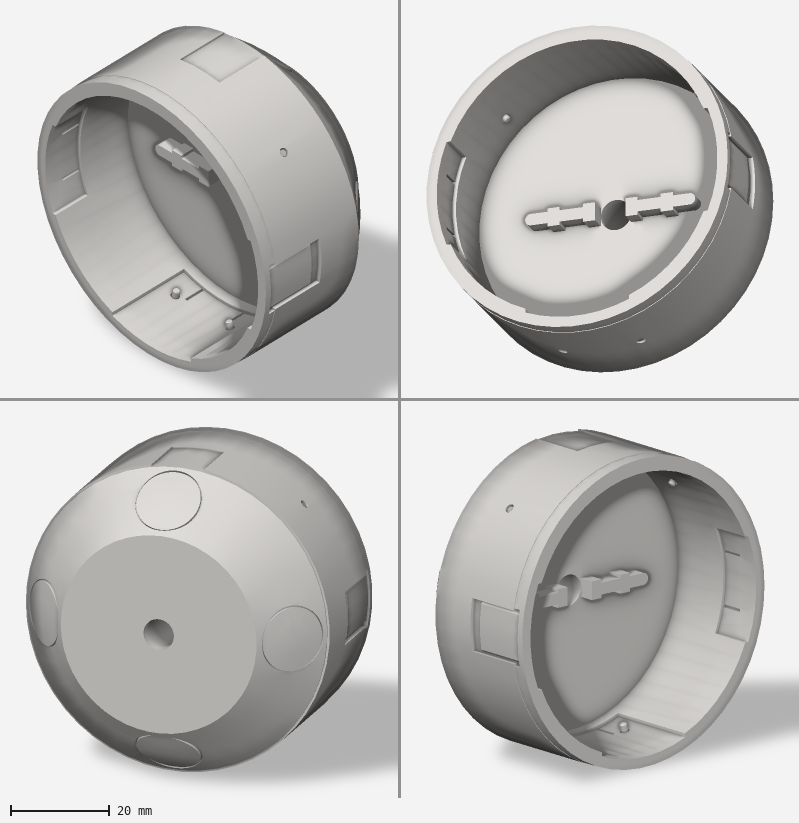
import cadquery as cq
import math


DEPTH = 38.5
BODY_R = 32.6
BAND_R = 32.5
BAND_END = 3.1
SHOULDER_Y = 26.7
NECK_R = 32.15
CONE_START = 27.05
CONE_END_R = 21.0
BORE_R = 29.5
FLOOR_Y = 23.15
CENTRE_HOLE_R = 3.25

RECESS_HALF = 5.6
TOP_RECESS_START = 13.9
SIDE_RECESS_START = 1.45
SIDE_RECESS_END = 15.9
SIDE_RECESS_R = 31.6
BAND_RECESS_HALF = 6.05
TONGUE_R = 32.0
TONGUE_END = 13.6
TONGUE_HALF = 5.3
TONGUE_TOP_HALF = 4.8

POCKET_R = 30.25
POCKET_HALF = 11.15
SIDE_POCKET_END = 9.3
BOTTOM_POCKET_END = 20.7
SLIT_INNER = 5.4
SLIT_OUTER = 6.05
SLIT_LENGTH = 4.9
SLIT_DEPTH = 0.6
SLIT_R = POCKET_R + SLIT_DEPTH

DISC_R = 6.7
DISC_GROOVE_R = 7.0
DISC_Y = 32.6
DISC_SEAT = 0.8
DISC_RIM_DROP = 0.2
DISC_CROWN = 0.4

BAR_HEIGHT = 3.45
BAR_START = CENTRE_HOLE_R
BAR_TIP = 18.3
BAR_HALF = 1.25
LUG_HALF = 1.95
LUG_LENGTH = 2.6
OUTER_LUG_START = 10.9

PIN_ANGLES = (45, 135, 255, 285)
PIN_Y = 14.8
PIN_DIAMETER = 1.5
PIN_HOLE_DIAMETER = 1.95
PIN_INNER_END = 28.55
PIN_OUTER_END = 32.2
PIN_CHAMFER = 0.2

MARGIN = 1.3


def cylinder(radius, start, end):
    """Cylinder on the Y axis between two Y positions."""
    return cq.Workplane("XZ", origin=(0, start, 0)).circle(radius).extrude(start - end)


def ring(inner, outer, start, end):
    return cylinder(outer, start, end).cut(cylinder(inner, start, end))


def top_block(low, high, start, end):
    """Block above the axis, spanning low to high in X."""
    height = BODY_R + MARGIN
    block = cq.Workplane("XY").box(high - low, end - start, height, centered=False)
    return block.translate((low, start, 0))


def turn(shape, angle):
    """Move a feature made at the top (+Z) to an angle measured from +X toward +Z."""
    return shape.rotate((0, 0, 0), (0, 1, 0), 90 - angle)


def shell():
    profile = [
        (0, 0), (BAND_R, 0), (BAND_R, BAND_END), (BODY_R, BAND_END), (BODY_R, SHOULDER_Y),
        (NECK_R, SHOULDER_Y), (NECK_R, CONE_START), (CONE_END_R, DEPTH), (0, DEPTH),
    ]
    solid = cq.Workplane("XY").polyline(profile).close().revolve(360, (0, 0, 0), (0, 1, 0))
    return solid.cut(cylinder(BORE_R, 0, FLOOR_Y)).cut(cylinder(CENTRE_HOLE_R, 0, DEPTH))


def outer_recess(floor_radius, half_width, start, end):
    shape = ring(floor_radius, BODY_R + MARGIN, start, end)
    return shape.intersect(top_block(-half_width, half_width, start, end))


def tongue():
    """Curved tongue with sloping sides, standing on the side recess floor."""
    side_z = math.sqrt(SIDE_RECESS_R**2 - TONGUE_HALF**2)
    top_z = math.sqrt(TONGUE_R**2 - TONGUE_TOP_HALF**2)
    root_z = side_z - MARGIN
    return (
        cq.Workplane("XZ", origin=(0, SIDE_RECESS_START, 0))
        .moveTo(-TONGUE_HALF, root_z)
        .lineTo(-TONGUE_HALF, side_z)
        .lineTo(-TONGUE_TOP_HALF, top_z)
        .threePointArc((0, TONGUE_R), (TONGUE_TOP_HALF, top_z))
        .lineTo(TONGUE_HALF, side_z)
        .lineTo(TONGUE_HALF, root_z)
        .close()
        .extrude(SIDE_RECESS_START - TONGUE_END)
    )


def inner_pocket(end):
    """Shallow pocket open at the rim, with two deeper slits at its back end."""
    pocket = ring(BORE_R - MARGIN, POCKET_R, 0, end)
    pocket = pocket.intersect(top_block(-POCKET_HALF, POCKET_HALF, 0, end))
    slit_start = end - SLIT_LENGTH
    slit_ring = ring(BORE_R, SLIT_R, slit_start, end)
    for low, high in ((-SLIT_OUTER, -SLIT_INNER), (SLIT_INNER, SLIT_OUTER)):
        pocket = pocket.union(slit_ring.intersect(top_block(low, high, slit_start, end)))
    return pocket


def disc_plane():
    """Plane touching the cone at the disc centre, with its normal pointing outward."""
    run = DEPTH - CONE_START
    drop = NECK_R - CONE_END_R
    centre_r = NECK_R - drop * (DISC_Y - CONE_START) / run
    return cq.Plane(origin=(0, DISC_Y, centre_r), xDir=(1, 0, 0), normal=(0, drop, run))


def disc_seat():
    seat = cq.Workplane(disc_plane()).workplane(offset=-DISC_SEAT)
    return seat.circle(DISC_GROOVE_R).extrude(DISC_SEAT + MARGIN)


def domed_disc():
    base = -DISC_SEAT - MARGIN
    rise = DISC_RIM_DROP + DISC_CROWN
    sphere_r = (DISC_R**2 + rise**2) / (2 * rise)
    disc = cq.Workplane(disc_plane()).workplane(offset=base).circle(DISC_R).extrude(DISC_CROWN - base)
    ball = cq.Workplane(disc_plane()).workplane(offset=DISC_CROWN - sphere_r).sphere(sphere_r)
    return disc.intersect(ball)


def floor_bar():
    """Bar toward +X with a round tip and two wider lugs."""
    bar = (
        cq.Workplane("XZ", origin=(0, FLOOR_Y, 0))
        .moveTo(BAR_START, -BAR_HALF)
        .lineTo(BAR_TIP - BAR_HALF, -BAR_HALF)
        .threePointArc((BAR_TIP, 0), (BAR_TIP - BAR_HALF, BAR_HALF))
        .lineTo(BAR_START, BAR_HALF)
        .close()
        .extrude(BAR_HEIGHT)
    )
    for start in (BAR_START, OUTER_LUG_START):
        lug = cq.Workplane("XY").box(LUG_LENGTH, BAR_HEIGHT, 2 * LUG_HALF, centered=(False, False, True))
        bar = bar.union(lug.translate((start, FLOOR_Y - BAR_HEIGHT, 0)))
    return bar.cut(cylinder(CENTRE_HOLE_R, 0, DEPTH))


def pin_hole():
    hole = cq.Workplane("XY", origin=(0, PIN_Y, BORE_R - MARGIN)).circle(PIN_HOLE_DIAMETER / 2)
    return hole.extrude(BODY_R - BORE_R + 2 * MARGIN)


def make_housing():
    housing = shell()
    housing = housing.cut(outer_recess(NECK_R, RECESS_HALF, TOP_RECESS_START, SHOULDER_Y))
    side_recess = outer_recess(SIDE_RECESS_R, RECESS_HALF, SIDE_RECESS_START, SIDE_RECESS_END).union(
        outer_recess(SIDE_RECESS_R, BAND_RECESS_HALF, SIDE_RECESS_START, BAND_END)
    )
    for angle in (0, 180):
        housing = housing.cut(turn(side_recess, angle)).union(turn(tongue(), angle))
        housing = housing.cut(turn(inner_pocket(SIDE_POCKET_END), angle))
        housing = housing.union(floor_bar().rotate((0, 0, 0), (0, 1, 0), angle))
    housing = housing.cut(turn(inner_pocket(BOTTOM_POCKET_END), 270))
    for angle in (0, 90, 180, 270):
        housing = housing.cut(turn(disc_seat(), angle)).union(turn(domed_disc(), angle))
    for angle in PIN_ANGLES:
        housing = housing.cut(turn(pin_hole(), angle))
    return housing


def make_pin(angle):
    """Round pin standing clear in its hole, chamfered at the inner tip."""
    pin = (
        cq.Workplane("XY", origin=(0, PIN_Y, PIN_INNER_END))
        .circle(PIN_DIAMETER / 2)
        .extrude(PIN_OUTER_END - PIN_INNER_END)
        .faces("<Z")
        .chamfer(PIN_CHAMFER)
    )
    return turn(pin, angle)


housing = make_housing()
pins = [make_pin(angle).val() for angle in PIN_ANGLES]

result = cq.Compound.makeCompound([housing.val(), *pins])